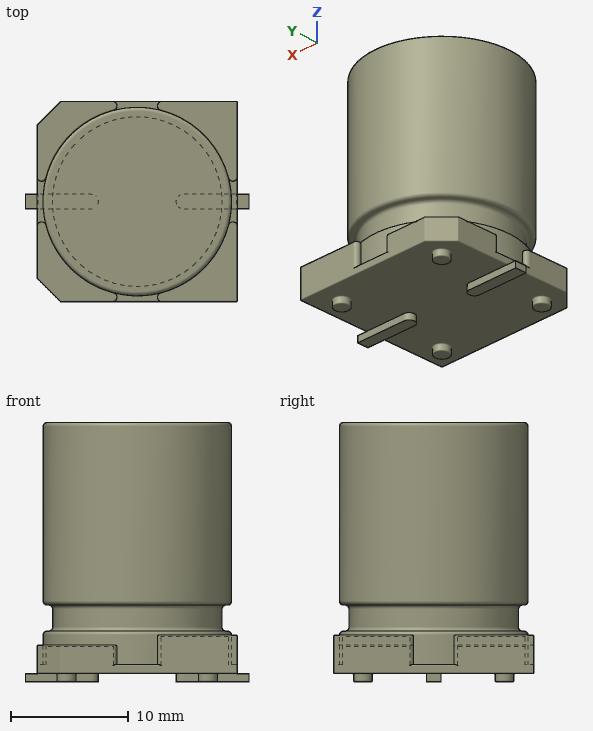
import cadquery as cq
import math

base_width = 17.0
base_bottom = 0.7
low_corner_top = 3.1
high_corner_top = 3.95
notch_floor = 1.45
notch_half_width = 1.72
corner_chamfer = 2.0
edge_fillet = 0.1

lead_span = 19.0
lead_width = 1.25
lead_inner_end = 3.3

foot_diameter = 1.6
foot_offset = 6.0
foot_fillet = 0.1

can_top = 22.0
can_radius = 16.0 / 2
neck_radius = 14.4 / 2
groove_bottom = 4.3
groove_top = 6.5
bend_radius = 0.33

half_base = base_width / 2


def make_can():
    """Revolve the can with its crimped groove; every bend is a quarter circle."""
    r = bend_radius
    mid = r * math.sqrt(0.5)
    outer_center = can_radius - r
    neck_center = neck_radius + r
    profile = (
        cq.Workplane("XZ")
        .moveTo(0, notch_floor)
        .lineTo(can_radius, notch_floor)
        .lineTo(can_radius, groove_bottom - r)
        .threePointArc((outer_center + mid, groove_bottom - r + mid), (outer_center, groove_bottom))
        .lineTo(neck_center, groove_bottom)
        .threePointArc((neck_center - mid, groove_bottom + r - mid), (neck_radius, groove_bottom + r))
        .lineTo(neck_radius, groove_top - r)
        .threePointArc((neck_center - mid, groove_top - r + mid), (neck_center, groove_top))
        .lineTo(outer_center, groove_top)
        .threePointArc((outer_center + mid, groove_top + r - mid), (can_radius, groove_top + r))
        .lineTo(can_radius, can_top - r)
        .threePointArc((outer_center + mid, can_top - r + mid), (outer_center, can_top))
        .lineTo(0, can_top)
        .close()
    )
    return profile.revolve(360, (0, 0, 0), (0, 1, 0))


def make_corner_post(x_side, y_side, top):
    """One corner of the base; it wraps the can and ends in a full round at each notch."""
    spread = half_base + can_radius - notch_half_width
    excess = notch_half_width**2 + half_base**2 - can_radius**2
    r = spread - math.sqrt(spread**2 - excess)

    round_along = notch_half_width + r
    round_across = half_base - r
    touch = can_radius / (can_radius + r)
    diagonal = can_radius * math.sqrt(0.5)

    bottom = notch_floor - edge_fillet
    post = (
        cq.Workplane("XY", origin=(0, 0, bottom))
        .moveTo(round_along, half_base)
        .lineTo(half_base, half_base)
        .lineTo(half_base, round_along)
        .threePointArc((round_across, notch_half_width), (round_across * touch, round_along * touch))
        .threePointArc((diagonal, diagonal), (round_along * touch, round_across * touch))
        .threePointArc((notch_half_width, round_across), (round_along, half_base))
        .close()
        .extrude(top - bottom)
    )
    if x_side < 0:
        post = post.edges("|Z").edges(">(1, 1, 0)").chamfer(corner_chamfer)
        post = post.mirror("YZ")
    if y_side < 0:
        post = post.mirror("XZ")
    return round_outer_corners(post).faces(">Z").edges().fillet(edge_fillet)


def round_outer_corners(body):
    """Slightly round the upright corner edges of a body shaped to the base outline."""
    corners = [(half_base, half_base), (half_base, -half_base)]
    flat_end = half_base - corner_chamfer
    for y_side in (-1, 1):
        corners.append((-half_base, y_side * flat_end))
        corners.append((-flat_end, y_side * half_base))
    for x, y in corners:
        reach = edge_fillet / 2
        near_corner = cq.selectors.BoxSelector(
            (x - reach, y - reach, 0), (x + reach, y + reach, can_top)
        )
        edges = body.edges("|Z").edges(near_corner)
        if edges.size() > 0:
            body = edges.fillet(edge_fillet)
    return body


def make_base():
    """Floor plate with two chamfered corners, plus the four corner posts."""
    plate = (
        cq.Workplane("XY", origin=(0, 0, base_bottom))
        .rect(base_width, base_width)
        .extrude(notch_floor - base_bottom)
        .edges("|Z and <X")
        .chamfer(corner_chamfer)
    )
    base = round_outer_corners(plate).faces("<Z or >Z").edges().fillet(edge_fillet)
    for y_side in (-1, 1):
        base = base.union(make_corner_post(-1, y_side, low_corner_top))
        base = base.union(make_corner_post(1, y_side, high_corner_top))
    return base


def make_lead(x_side):
    """Flat lead strip with a fully rounded inner end."""
    half_width = lead_width / 2
    inner = x_side * lead_inner_end
    round_start = x_side * (lead_inner_end + half_width)
    outer = x_side * lead_span / 2
    return (
        cq.Workplane("XY")
        .moveTo(outer, -half_width)
        .lineTo(round_start, -half_width)
        .threePointArc((inner, 0), (round_start, half_width))
        .lineTo(outer, half_width)
        .close()
        .extrude(base_bottom)
    )


def make_foot(x, y):
    """Round standoff foot with a rounded tip and a small fillet where it meets the base."""
    radius = foot_diameter / 2
    r = foot_fillet
    mid = r * math.sqrt(0.5)
    tip_center = radius - r
    root_center = radius + r
    foot = (
        cq.Workplane("XZ")
        .lineTo(tip_center, 0)
        .threePointArc((tip_center + mid, r - mid), (radius, r))
        .lineTo(radius, base_bottom - r)
        .threePointArc((root_center - mid, base_bottom - r + mid), (root_center, base_bottom))
        .lineTo(0, base_bottom)
        .close()
        .revolve(360, (0, 0, 0), (0, 1, 0))
    )
    return foot.translate((x, y, 0))


result = make_base().union(make_can())
for x_side in (-1, 1):
    result = result.union(make_lead(x_side))
    for y_side in (-1, 1):
        result = result.union(make_foot(x_side * foot_offset, y_side * foot_offset))